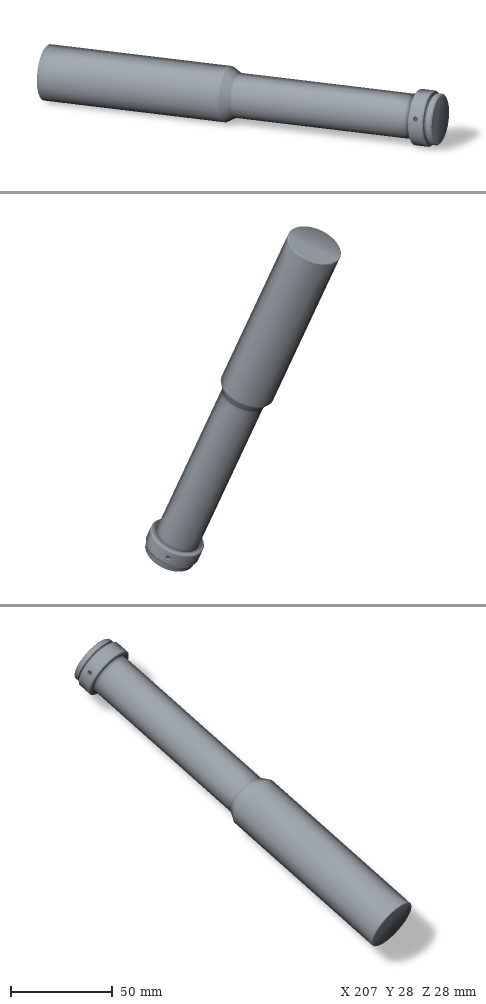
import cadquery as cq
import math

length = 207.0
body_diameter = 28.0
body_radius = body_diameter / 2
tube_radius = 11.2

body_end = 95.7
body_chamfer = 0.31
taper_length = 5.0

collar_start = 195.0
collar_width = 7.9
collar_radius = body_radius
collar_chamfer = 0.5
lip_width = 3.0
lip_radius = 12.8
lip_chamfer = 0.6
neck_radius = 11.8

hole_count = 3
hole_radius = 1.2
hole_depth = 2.0
hole_x = collar_start + collar_width / 2
first_hole_angle = 45.0


def cylinder(start, width, radius):
    """Solid cylinder along +X, beginning at x = start."""
    return cq.Workplane("YZ", origin=(start, 0, 0)).circle(radius).extrude(width)


def make_body():
    """Thick body with a fine chamfer around its free end."""
    return cylinder(0, body_end, body_radius).faces("<X").edges().chamfer(body_chamfer)


def make_taper():
    """Cone between the thick body and the tube."""
    taper_end = body_end + taper_length
    return (
        cq.Workplane("XY")
        .moveTo(body_end, 0)
        .lineTo(body_end, body_radius)
        .lineTo(taper_end, tube_radius)
        .lineTo(taper_end, 0)
        .close()
        .revolve(360, (0, 0, 0), (1, 0, 0))
    )


def make_collar():
    """Collar with both rims chamfered."""
    return cylinder(collar_start, collar_width, collar_radius).edges().chamfer(collar_chamfer)


def make_lip():
    """End lip with its outer rim chamfered."""
    lip = cylinder(length - lip_width, lip_width, lip_radius)
    return lip.faces(">X").edges().chamfer(lip_chamfer)


def make_screw_hole(angle_degrees):
    """Cutter for a blind hole running radially into the collar."""
    angle = math.radians(angle_degrees)
    outward = cq.Vector(0, math.cos(angle), math.sin(angle))
    floor = cq.Vector(hole_x, 0, 0) + outward * (collar_radius - hole_depth)
    return cq.Workplane(cq.Solid.makeCylinder(hole_radius, 2 * hole_depth, floor, outward))


body = make_body()
tube = cylinder(body_end, collar_start - body_end, tube_radius)
neck = cylinder(collar_start, length - lip_width - collar_start, neck_radius)

result = body.union(make_taper()).union(tube).union(neck).union(make_collar()).union(make_lip())
for index in range(hole_count):
    result = result.cut(make_screw_hole(first_hole_angle + index * 360 / hole_count))